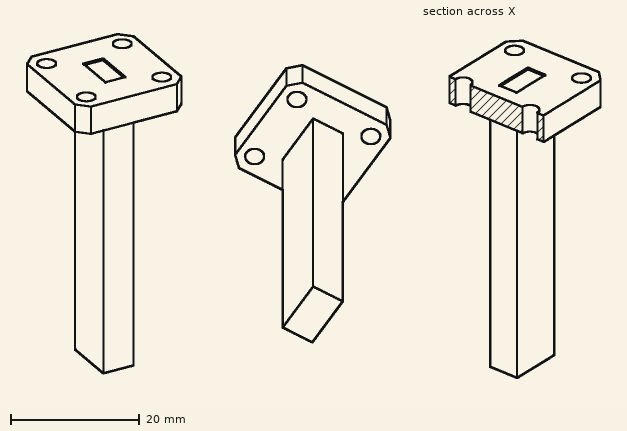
import cadquery as cq

total_length = 50.8
flange_side = 19.05
flange_thickness = 4.85
corner_chamfer = 1.85

bar_width = 9.15
bar_depth = 5.45

hole_diameter = 2.95
hole_spacing_x = 12.7
hole_spacing_y = 13.5

recess_width = 7.1
recess_depth_y = recess_width / 2
recess_floor_depth = 0.3

flange = (
    cq.Workplane("XY")
    .rect(flange_side, flange_side)
    .extrude(-flange_thickness)
    .edges("|Z")
    .chamfer(corner_chamfer)
)

bar = cq.Workplane("XY").rect(bar_width, bar_depth).extrude(-total_length)

bolt_holes = (
    cq.Workplane("XY")
    .rect(hole_spacing_x, hole_spacing_y, forConstruction=True)
    .vertices()
    .circle(hole_diameter / 2)
    .extrude(-flange_thickness)
)

recess = cq.Workplane("XY").rect(recess_width, recess_depth_y).extrude(-recess_floor_depth)

result = flange.union(bar).cut(bolt_holes).cut(recess)